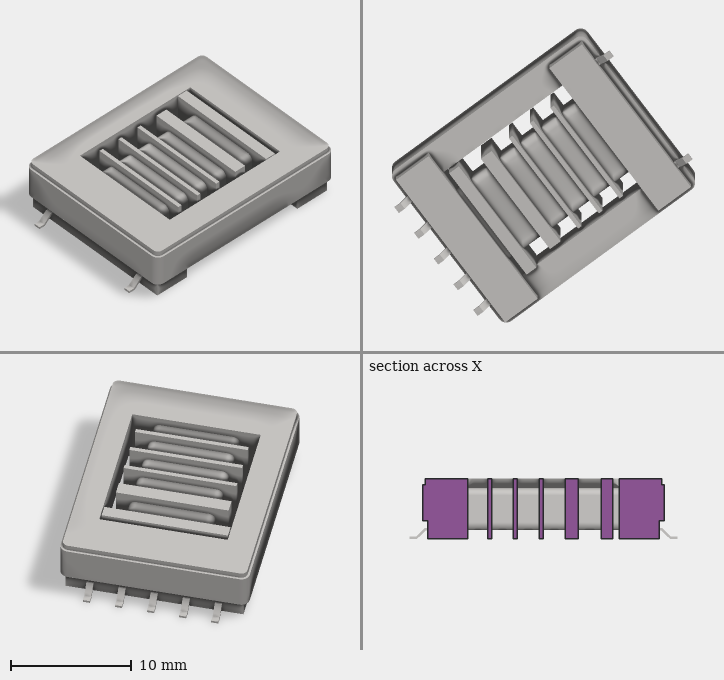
import cadquery as cq
import math

foot_height = 1.5
shoulder_height = 4.5
total_height = 5.0

frame_width = 16.05
frame_length = 20.05
frame_corner_radius = 0.7
lid_inset = 0.2
window_width = 10.9
window_length = 12.48

foot_width = 15.1
foot_overall_length = 19.2

core_width = 7.35
core_bottom = 0.75
core_top = total_height - core_bottom
core_edge_radius = 0.6

narrow_flange_width = 9.57
flanges = [
    (4.75, 1.0, 10.72),
    (1.8, 1.1, narrow_flange_width),
    (-0.35, 0.35, narrow_flange_width),
    (-2.5, 0.35, narrow_flange_width),
    (-4.65, 0.35, narrow_flange_width),
]

lead_overall_length = 22.2
lead_width = 0.6
lead_thickness = 0.2
lead_top = 0.9
lead_foot_length = 0.53
lead_shoulder_length = 0.22
lead_row_span = 10.9
lead_pitch = lead_row_span / 4
rear_lead_positions = [-2, -1, 0, 1, 2]
front_lead_positions = [-2, 2]


def block(width, length, bottom, top, center_y=0):
    """Box centred on X, lying between two heights."""
    return (
        cq.Workplane("XY", origin=(0, center_y, bottom))
        .rect(width, length)
        .extrude(top - bottom)
    )


def make_frame():
    body = block(frame_width, frame_length, foot_height, shoulder_height)
    body = body.edges("|Z").fillet(frame_corner_radius)
    lid_width = frame_width - 2 * lid_inset
    lid_length = frame_length - 2 * lid_inset
    lid = block(lid_width, lid_length, shoulder_height, total_height)
    lid = lid.edges("|Z").fillet(frame_corner_radius - lid_inset)
    feet = block(foot_width, foot_overall_length, 0, foot_height)
    foot_gap = block(foot_width, window_length, 0, foot_height)
    window = block(window_width, window_length, foot_height, total_height)
    return body.union(lid).union(feet).cut(foot_gap).cut(window)


def make_core():
    core = block(core_width, window_length, core_bottom, core_top)
    return core.edges("|Y").fillet(core_edge_radius)


def make_flange(front_y, thickness, width):
    return block(width, thickness, 0, total_height, front_y + thickness / 2)


def make_lead(x):
    """Lead on the +Y end: shoulder, sloping ramp and flat foot."""
    root = foot_overall_length / 2
    tip = lead_overall_length / 2
    ramp_top = root + lead_shoulder_length
    ramp_bottom = tip - lead_foot_length
    ramp_angle = math.atan2(lead_top - lead_thickness, ramp_bottom - ramp_top)
    bend_shift = lead_thickness * math.tan(ramp_angle / 2)
    return (
        cq.Workplane("YZ", origin=(x - lead_width / 2, 0, 0))
        .moveTo(root, lead_top)
        .lineTo(ramp_top, lead_top)
        .lineTo(ramp_bottom, lead_thickness)
        .lineTo(tip, lead_thickness)
        .lineTo(tip, 0)
        .lineTo(ramp_bottom - bend_shift, 0)
        .lineTo(ramp_top - bend_shift, lead_top - lead_thickness)
        .lineTo(root, lead_top - lead_thickness)
        .close()
        .extrude(lead_width)
    )


result = make_frame().union(make_core())

for front_y, thickness, width in flanges:
    result = result.union(make_flange(front_y, thickness, width))

for position in rear_lead_positions:
    result = result.union(make_lead(position * lead_pitch))

for position in front_lead_positions:
    result = result.union(make_lead(position * lead_pitch).mirror("XZ"))